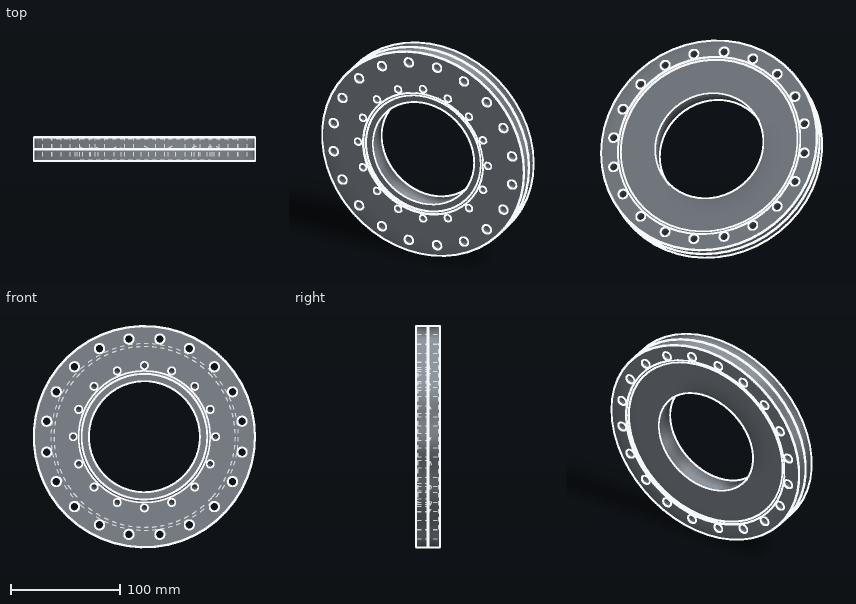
import cadquery as cq
import math

outer_diameter = 203.0
thickness = 22.3
bore_diameter = 101.5
rim_chamfer = 0.5

rim_groove_depth = 0.5
rim_groove_width = 2 * rim_groove_depth

front_recess_diameter = 120.5
rear_recess_diameter = 171.3
knife_inset = 2.6
knife_depth = 0.6
seal_floor_angle = 20.0
inner_face_depth = 1.2
knife_back_width = 0.2

bolt_hole_count = 20
bolt_hole_diameter = 8.3
bolt_hole_chamfer = 0.2
bolt_circle_diameter = 181.0

blind_hole_count = 16
blind_hole_diameter = 6.7
blind_circle_diameter = 130.3
blind_hole_depth = 12.2
drill_tip_angle = 118.0
flat_hole_angles = (90.0, 180.0)

outer_radius = outer_diameter / 2
bore_radius = bore_diameter / 2
half_thickness = thickness / 2
front_y = -half_thickness


def revolved(points):
    """Revolve a closed (radius, y) outline about the Y axis."""
    return cq.Workplane("XY").polyline(points).close().revolve(360, (0, 0, 0), (0, 1, 0))


def at_polar(shape, circle_diameter, angle):
    """Move a shape from the Y axis to an angle, from +X towards +Z, on a circle about that axis."""
    radius = circle_diameter / 2
    angle_radians = math.radians(angle)
    return shape.translate((radius * math.cos(angle_radians), 0, radius * math.sin(angle_radians)))


def disc_body():
    half_groove = rim_groove_width / 2
    chamfer_radius = outer_radius - rim_chamfer
    chamfer_y = half_thickness - rim_chamfer
    return revolved([
        (bore_radius, -half_thickness),
        (chamfer_radius, -half_thickness),
        (outer_radius, -chamfer_y),
        (outer_radius, -half_groove),
        (outer_radius - rim_groove_depth, 0),
        (outer_radius, half_groove),
        (outer_radius, chamfer_y),
        (chamfer_radius, half_thickness),
        (bore_radius, half_thickness),
    ])


def front_seal_seat(recess_diameter):
    recess_radius = recess_diameter / 2
    knife_radius = recess_radius - knife_inset
    floor_drop = knife_inset * math.tan(math.radians(seal_floor_angle))
    return revolved([
        (bore_radius, front_y),
        (bore_radius, front_y + inner_face_depth),
        (knife_radius - knife_back_width, front_y + inner_face_depth),
        (knife_radius, front_y + knife_depth),
        (recess_radius, front_y + knife_depth + floor_drop),
        (recess_radius, front_y),
    ])


def bolt_hole():
    radius = bolt_hole_diameter / 2
    mouth_radius = radius + bolt_hole_chamfer
    chamfer_y = half_thickness - bolt_hole_chamfer
    return revolved([
        (0, -half_thickness),
        (mouth_radius, -half_thickness),
        (radius, -chamfer_y),
        (radius, chamfer_y),
        (mouth_radius, half_thickness),
        (0, half_thickness),
    ])


def blind_hole(tip_length):
    radius = blind_hole_diameter / 2
    bottom_y = front_y + blind_hole_depth
    points = [(0, front_y), (radius, front_y), (radius, bottom_y), (0, bottom_y + tip_length)]
    return revolved(points)


rear_seal_seat = front_seal_seat(rear_recess_diameter).mirror("XZ")
result = disc_body().cut(front_seal_seat(front_recess_diameter)).cut(rear_seal_seat)

bolt_pitch = 360 / bolt_hole_count
for i in range(bolt_hole_count):
    result = result.cut(at_polar(bolt_hole(), bolt_circle_diameter, (i + 0.5) * bolt_pitch))

drill_tip_length = blind_hole_diameter / 2 / math.tan(math.radians(drill_tip_angle / 2))
blind_pitch = 360 / blind_hole_count
for i in range(blind_hole_count):
    hole_angle = i * blind_pitch
    tip = 0 if hole_angle in flat_hole_angles else drill_tip_length
    result = result.cut(at_polar(blind_hole(tip), blind_circle_diameter, hole_angle))